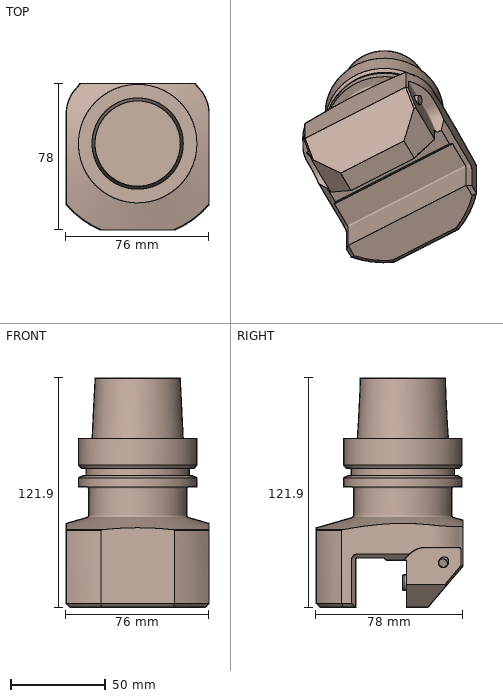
import cadquery as cq
import math


TAPER_HEIGHT = 32.0
TAPER_BASE_RADIUS = 24.25
TAPER_RATE = 0.05

FLANGE_RADIUS = 31.5
FLANGE_EDGE_Z = -14.2
COLLAR_EDGE_RADIUS = 30.0
GROOVE_RADIUS = 27.5
GROOVE_TOP_Z = -16.0
GROOVE_BOTTOM_Z = -19.8
LOWER_COLLAR_EDGE_Z = -21.0
LOWER_COLLAR_EDGE_RADIUS = 29.0
FLANGE_BOTTOM_Z = -25.8

NECK_RADIUS = 26.1
NECK_FILLET = 1.2
NECK_BOTTOM_Z = -40.9
SHOULDER_ANGLE = 16.0

HEAD_RADIUS = 50.0
HEAD_EDGE_BEVEL = 0.3
HEAD_HALF_WIDTH = 38.0
HEAD_FRONT_Y = -46.0
HEAD_BACK_Y = 32.0
HEAD_BOTTOM_Z = -89.9
BACK_CORNER_RADIUS = 20.0
BACK_CORNER_START_Y = 15.8
BACK_BEVEL_X = 1.35
BACK_BEVEL_Y = 1.9
EDGE_CHAMFER = 2.2

SLOT_FRONT_Y = -25.0
SLOT_CEILING_Z = -63.7
SLOT_CORNER_RADIUS = 0.8
PAD_DROP = 1.2
PAD_FRONT_Y = -10.0

JAW_FRONT_Y = 1.9
JAW_HALF_WIDTH = 31.5
JAW_TOP_Z = -57.9
RELIEF_RADIUS = 12.5
RELIEF_CURVE_START_Y = 12.3
RELIEF_FILLET = 1.0
JAW_SIDE_CHAMFER = 12.3
JAW_BEVEL_TOP_Z = -67.9
JAW_BEVEL_BOTTOM_Y = 13.3
JAW_BEVEL_CHAMFER = 1.0

PIN_DIAMETER = 5.0
PIN_END = (-33.3, 21.3, -66.4)
PIN_DIRECTION = (1.0, 0.27, 0.4)
PIN_LENGTH = 6.0

SCREW_DIAMETER = 8.5
SCREW_X = 19.7
SCREW_Z = -76.7
SCREW_SHANK_LENGTH = 1.2
SCREW_TIP_LENGTH = 0.9
SCREW_TIP_TAPER = 20.0

OVERSIZE = 20.0


def make_turned_body():
    """Shank, grooved flange, neck, conical shoulder and round head."""
    taper_top_radius = TAPER_BASE_RADIUS - TAPER_RATE * TAPER_HEIGHT
    slope = math.radians(SHOULDER_ANGLE)
    shoulder_start_radius = NECK_RADIUS + NECK_FILLET * (1 - math.sin(slope))
    shoulder_start_z = NECK_BOTTOM_Z - NECK_FILLET * math.cos(slope)
    shoulder_end_radius = HEAD_RADIUS - HEAD_EDGE_BEVEL
    shoulder_drop = (shoulder_end_radius - shoulder_start_radius) * math.tan(slope)
    shoulder_end_z = shoulder_start_z - shoulder_drop
    profile = (
        cq.Workplane("XZ")
        .moveTo(0, HEAD_BOTTOM_Z)
        .lineTo(HEAD_RADIUS, HEAD_BOTTOM_Z)
        .lineTo(HEAD_RADIUS, shoulder_end_z - HEAD_EDGE_BEVEL)
        .lineTo(shoulder_end_radius, shoulder_end_z)
        .lineTo(shoulder_start_radius, shoulder_start_z)
        .radiusArc((NECK_RADIUS, NECK_BOTTOM_Z), NECK_FILLET)
        .lineTo(NECK_RADIUS, FLANGE_BOTTOM_Z - NECK_FILLET)
        .radiusArc((NECK_RADIUS + NECK_FILLET, FLANGE_BOTTOM_Z), NECK_FILLET)
        .lineTo(FLANGE_RADIUS, FLANGE_BOTTOM_Z)
        .lineTo(FLANGE_RADIUS, LOWER_COLLAR_EDGE_Z)
        .lineTo(LOWER_COLLAR_EDGE_RADIUS, GROOVE_BOTTOM_Z)
        .lineTo(GROOVE_RADIUS, GROOVE_BOTTOM_Z)
        .lineTo(GROOVE_RADIUS, GROOVE_TOP_Z)
        .lineTo(COLLAR_EDGE_RADIUS, GROOVE_TOP_Z)
        .lineTo(FLANGE_RADIUS, FLANGE_EDGE_Z)
        .lineTo(FLANGE_RADIUS, 0)
        .lineTo(TAPER_BASE_RADIUS, 0)
        .lineTo(taper_top_radius, TAPER_HEIGHT)
        .lineTo(0, TAPER_HEIGHT)
        .close()
    )
    return profile.revolve(360, (0, 0, 0), (0, 1, 0))


def make_head_outline():
    """Prism that trims the round head to its flats and rounded back corners."""
    corner_y = HEAD_BACK_Y - BACK_BEVEL_Y
    arc_depth = corner_y - BACK_CORNER_START_Y
    arc_inset = BACK_CORNER_RADIUS - math.sqrt(BACK_CORNER_RADIUS**2 - arc_depth**2)
    corner_x = HEAD_HALF_WIDTH - arc_inset
    back_x = corner_x - BACK_BEVEL_X
    return (
        cq.Workplane("XY", origin=(0, 0, HEAD_BOTTOM_Z))
        .moveTo(-HEAD_HALF_WIDTH, HEAD_FRONT_Y)
        .lineTo(HEAD_HALF_WIDTH, HEAD_FRONT_Y)
        .lineTo(HEAD_HALF_WIDTH, BACK_CORNER_START_Y)
        .radiusArc((corner_x, corner_y), -BACK_CORNER_RADIUS)
        .lineTo(back_x, HEAD_BACK_Y)
        .lineTo(-back_x, HEAD_BACK_Y)
        .lineTo(-corner_x, corner_y)
        .radiusArc((-HEAD_HALF_WIDTH, BACK_CORNER_START_Y), -BACK_CORNER_RADIUS)
        .close()
        .extrude(TAPER_HEIGHT - HEAD_BOTTOM_Z)
    )


def both_sides(body):
    """The given -X side body together with its mirror image on the +X side."""
    return body.union(body.mirror("YZ"))


def cut_slot(body):
    """Open the slot between leg and jaw and bevel its edges on both sides."""
    slot_bottom_z = HEAD_BOTTOM_Z - OVERSIZE
    slot = (
        cq.Workplane("YZ", origin=(-HEAD_HALF_WIDTH, 0, 0))
        .moveTo(JAW_FRONT_Y, SLOT_CEILING_Z)
        .lineTo(SLOT_FRONT_Y + SLOT_CORNER_RADIUS, SLOT_CEILING_Z)
        .radiusArc((SLOT_FRONT_Y, SLOT_CEILING_Z - SLOT_CORNER_RADIUS), -SLOT_CORNER_RADIUS)
        .lineTo(SLOT_FRONT_Y, slot_bottom_z)
        .lineTo(JAW_FRONT_Y, slot_bottom_z)
        .close()
        .extrude(2 * HEAD_HALF_WIDTH)
    )
    mouth_top_z = SLOT_CEILING_Z + EDGE_CHAMFER
    mouth_front_y = SLOT_FRONT_Y - EDGE_CHAMFER
    mouth_back_y = JAW_FRONT_Y + EDGE_CHAMFER
    mouth_radius = SLOT_CORNER_RADIUS + EDGE_CHAMFER
    mouth = (
        cq.Workplane("YZ", origin=(-HEAD_HALF_WIDTH, 0, 0))
        .moveTo(mouth_back_y, mouth_top_z)
        .lineTo(mouth_front_y + mouth_radius, mouth_top_z)
        .radiusArc((mouth_front_y, mouth_top_z - mouth_radius), -mouth_radius)
        .lineTo(mouth_front_y, slot_bottom_z)
        .lineTo(mouth_back_y, slot_bottom_z)
        .close()
        .extrude(EDGE_CHAMFER, taper=45)
    )
    return body.cut(slot).cut(both_sides(mouth))


def make_ceiling_pad():
    """Low pad under the slot ceiling, bevelled at 45 degrees and running into the jaw."""
    half_width = HEAD_HALF_WIDTH - EDGE_CHAMFER
    back_y = JAW_FRONT_Y + 2 * PAD_DROP
    return (
        cq.Workplane("XY", origin=(0, (PAD_FRONT_Y + back_y) / 2, SLOT_CEILING_Z))
        .rect(2 * half_width, back_y - PAD_FRONT_Y)
        .extrude(-PAD_DROP, taper=45)
    )


def cut_jaw_reliefs(body):
    """Set the jaw sides back from the head, with a curved, filleted upper wall."""
    arc_run = RELIEF_RADIUS * math.sin(math.radians(45))
    arc_drop = RELIEF_RADIUS - arc_run
    arc_end_y = RELIEF_CURVE_START_Y - arc_run
    arc_end_z = JAW_TOP_Z - arc_drop
    front_y = SLOT_FRONT_Y / 2
    back_y = HEAD_BACK_Y + OVERSIZE
    bottom_z = HEAD_BOTTOM_Z - OVERSIZE
    relief = (
        cq.Workplane("YZ", origin=(-HEAD_HALF_WIDTH - OVERSIZE, 0, 0))
        .moveTo(back_y, JAW_TOP_Z)
        .lineTo(RELIEF_CURVE_START_Y, JAW_TOP_Z)
        .radiusArc((arc_end_y, arc_end_z), -RELIEF_RADIUS)
        .lineTo(front_y, arc_end_z - (arc_end_y - front_y))
        .lineTo(front_y, bottom_z)
        .lineTo(back_y, bottom_z)
        .close()
        .extrude(HEAD_HALF_WIDTH + OVERSIZE - JAW_HALF_WIDTH)
        .faces(">X")
        .edges()
        .fillet(RELIEF_FILLET)
    )
    return body.cut(both_sides(relief))


def cut_jaw_bevels(body):
    """Slope the jaw's lower back, break the slope's side edges, and bevel the lower sides."""
    back_slope = (
        cq.Workplane("YZ", origin=(-HEAD_HALF_WIDTH, 0, 0))
        .moveTo(HEAD_BACK_Y, JAW_BEVEL_TOP_Z)
        .lineTo(JAW_BEVEL_BOTTOM_Y, HEAD_BOTTOM_Z)
        .lineTo(HEAD_BACK_Y, HEAD_BOTTOM_Z)
        .close()
        .extrude(2 * HEAD_HALF_WIDTH)
    )
    slope_rise = JAW_BEVEL_TOP_Z - HEAD_BOTTOM_Z
    slope_run = HEAD_BACK_Y - JAW_BEVEL_BOTTOM_Y
    body = (
        body.cut(back_slope)
        .edges(cq.selectors.ParallelDirSelector(cq.Vector(0, slope_run, slope_rise)))
        .chamfer(JAW_BEVEL_CHAMFER)
    )
    side_bevel = (
        cq.Workplane("XZ", origin=(0, JAW_FRONT_Y, 0))
        .moveTo(-JAW_HALF_WIDTH, HEAD_BOTTOM_Z + JAW_SIDE_CHAMFER)
        .lineTo(-JAW_HALF_WIDTH + JAW_SIDE_CHAMFER, HEAD_BOTTOM_Z)
        .lineTo(-JAW_HALF_WIDTH, HEAD_BOTTOM_Z)
        .close()
        .extrude(JAW_FRONT_Y - HEAD_BACK_Y)
    )
    return body.cut(both_sides(side_bevel))


def make_pin():
    """Slanted pin standing out of the jaw's -X side."""
    end_plane = cq.Plane(origin=PIN_END, normal=PIN_DIRECTION)
    return cq.Workplane(end_plane).circle(PIN_DIAMETER / 2).extrude(PIN_LENGTH)


def make_screw_tip():
    """Screw tip with a tapered end on the -X half of the jaw's front face."""
    return (
        cq.Workplane("XZ", origin=(-SCREW_X, JAW_FRONT_Y, SCREW_Z))
        .circle(SCREW_DIAMETER / 2)
        .extrude(SCREW_SHANK_LENGTH)
        .faces("<Y")
        .wires()
        .toPending()
        .workplane()
        .extrude(SCREW_TIP_LENGTH, taper=SCREW_TIP_TAPER)
    )


part = make_turned_body().intersect(make_head_outline())
part = part.faces("<Z").edges().chamfer(EDGE_CHAMFER)
part = cut_slot(part)
part = part.union(make_ceiling_pad())
part = cut_jaw_reliefs(part)
part = cut_jaw_bevels(part)
part = part.union(both_sides(make_pin()))
result = part.union(both_sides(make_screw_tip()))